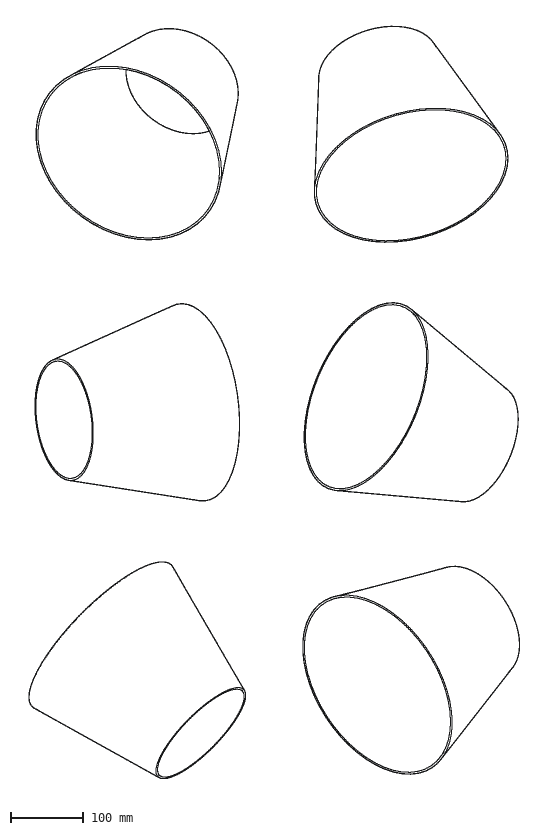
import cadquery as cq

large_diameter = 273.0
small_diameter = 168.2
length = 200.0
wall = 3.0

large_radius = large_diameter / 2
small_radius = small_diameter / 2
wide_end_y = -length / 2
narrow_end_y = length / 2

wall_section = (
    cq.Workplane("XY")
    .moveTo(large_radius - wall, wide_end_y)
    .lineTo(large_radius, wide_end_y)
    .lineTo(small_radius, narrow_end_y)
    .lineTo(small_radius - wall, narrow_end_y)
    .close()
)

result = wall_section.revolve(360, (0, 0, 0), (0, 1, 0))